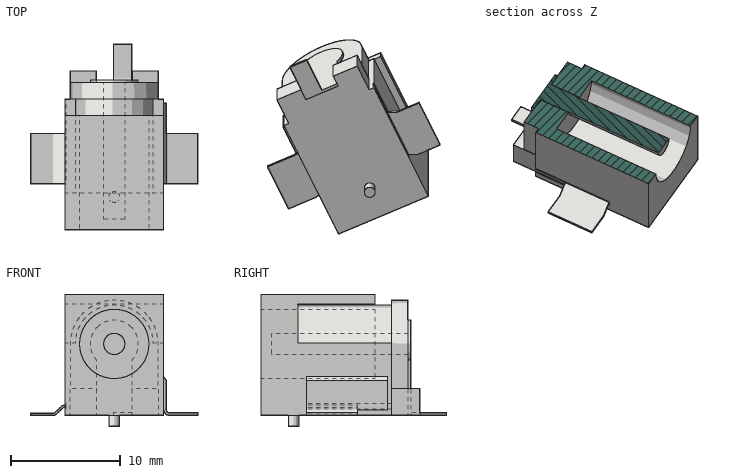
import cadquery as cq
import math

width = 8.99
height = 11.0
roof_back = 10.4
wall_back = 11.88
half_width = width / 2

axis_z = 6.5
socket_diameter = 6.3
socket_depth = roof_back
barrel_radius = 3.55
barrel_cut_front = 3.36
wall_top = 6.6
roof_underside = 10.12

flange_radius = 3.99
foot_outer_x = 4.02
flange_back = 13.38
foot_back = 14.47
foot_height = 2.47
foot_gap = 3.25

peg_diameter = 1.0
peg_length = 1.0
peg_y = 2.99

pin_diameter = 1.93
pin_front = 0.98
head_diameter = 4.36
sheet = 0.25
strap_width = 3.21
tail_width = 1.69
tail_end = 16.9
tail_bend_radius = 0.1

lead_span = 15.2
lead_tip = lead_span / 2
lead_front = 4.17
lead_width = 4.6
left_sheet = 0.2
left_flat_end = 5.48
left_slope_end = 4.68
left_top = 0.93
left_bend_radius = 0.14
right_plate_back = 11.53
right_plate_top = 3.53
right_top_bevel = 0.34
right_bend_radius = 0.25

slot_bottom = 0.6
slot_top = 1.06
slot_depth = 0.1


def block(x_min, x_max, y_min, y_max, z_min, z_max):
    """Box given by its limits along each axis."""
    size = (x_max - x_min, y_max - y_min, z_max - z_min)
    return cq.Workplane("XY").box(*size, centered=False).translate((x_min, y_min, z_min))


def axial_cylinder(diameter, y_min, y_max):
    """Cylinder on the socket axis, running along Y."""
    plane = cq.Workplane("XZ", origin=(0, y_min, axis_z))
    return plane.circle(diameter / 2).extrude(y_min - y_max)


def extrude_along_y(outline, y_min, length):
    """Extrude a closed XZ outline from y_min toward +Y."""
    return outline.extrude(-length).translate((0, y_min, 0))


def make_flange():
    """Round-topped rear plate standing on two feet."""
    depth = flange_back - wall_back
    outline = (
        cq.Workplane("XZ")
        .moveTo(-flange_radius, 0)
        .lineTo(-flange_radius, axis_z)
        .threePointArc((0, axis_z + flange_radius), (flange_radius, axis_z))
        .lineTo(flange_radius, 0)
        .close()
    )
    flange = extrude_along_y(outline, wall_back, depth)
    inner = foot_gap / 2
    for x_min, x_max in ((-foot_outer_x, -inner), (inner, foot_outer_x)):
        flange = flange.union(block(x_min, x_max, wall_back, foot_back, 0, foot_height))
    return flange


def make_housing():
    """Block with a roof, low side walls, an exposed barrel and the rear flange."""
    body = block(-half_width, half_width, 0, barrel_cut_front, 0, height)
    walls = block(-half_width, half_width, barrel_cut_front, wall_back, 0, wall_top)
    roof = block(-half_width, half_width, barrel_cut_front, roof_back, roof_underside, height)
    barrel = axial_cylinder(2 * barrel_radius, barrel_cut_front, wall_back)
    body = body.union(walls).union(roof).union(barrel).union(make_flange())

    peg = cq.Workplane("XY").center(0, peg_y).circle(peg_diameter / 2).extrude(-peg_length)
    slot_floor = slot_depth - half_width
    slot = block(-half_width, slot_floor, lead_front, wall_back, slot_bottom, slot_top)
    socket = axial_cylinder(socket_diameter, 0, socket_depth)
    pin_bore = axial_cylinder(pin_diameter, socket_depth, flange_back)
    return body.union(peg).cut(slot).cut(socket).cut(pin_bore)


def make_center_pin():
    """Pin, rear head, strap running down from the head, and offset tail."""
    strap_back = flange_back + sheet
    tail_right = strap_width / 2
    tail_left = tail_right - tail_width
    pin = axial_cylinder(pin_diameter, pin_front, flange_back)
    head = axial_cylinder(head_diameter, flange_back, strap_back)
    strap = block(-strap_width / 2, strap_width / 2, flange_back, strap_back, 0, axis_z)
    tail = block(tail_left, tail_right, flange_back, tail_end, 0, sheet)

    bend = (
        cq.Workplane("YZ", origin=(tail_left, 0, 0))
        .moveTo(strap_back, sheet)
        .lineTo(strap_back + tail_bend_radius, sheet)
        .radiusArc((strap_back, sheet + tail_bend_radius), tail_bend_radius)
        .close()
        .extrude(tail_width)
    )
    return pin.union(head).union(strap).union(tail).union(bend)


def make_left_lead():
    """Flat foot, sloped step and short root that meets the slot floor."""
    root_x = slot_depth - half_width
    slope = math.atan2(left_top - left_sheet, left_flat_end - left_slope_end)
    miter = left_sheet * math.tan(slope / 2)
    low_bend = (-left_flat_end, left_sheet)
    high_bend = (-left_slope_end, left_top)
    outline = cq.Workplane("XZ").polyline([
        (-lead_tip, left_sheet),
        low_bend,
        high_bend,
        (root_x, left_top),
        (root_x, left_top - left_sheet),
        (high_bend[0] + miter, left_top - left_sheet),
        (low_bend[0] + miter, 0),
        (-lead_tip, 0),
    ]).close()
    lead = extrude_along_y(outline, lead_front, lead_width)

    def bend_edge(x, z):
        nearby = 0.002
        low = (x - nearby, lead_front - nearby, z - nearby)
        high = (x + nearby, lead_front + lead_width + nearby, z + nearby)
        return cq.selectors.BoxSelector(low, high, boundingbox=True)

    outer_radius = left_bend_radius + left_sheet
    lead = lead.edges(bend_edge(*low_bend)).fillet(left_bend_radius)
    lead = lead.edges(bend_edge(low_bend[0] + miter, 0)).fillet(outer_radius)
    lead = lead.edges(bend_edge(*high_bend)).fillet(outer_radius)
    return lead.edges(bend_edge(high_bend[0] + miter, left_top - left_sheet)).fillet(left_bend_radius)


def make_right_lead():
    """L-shaped lead with a beveled plate lying against the right wall."""
    plate_face = half_width + sheet
    outer_radius = right_bend_radius + sheet
    foot_start = half_width + outer_radius
    foot_outline = (
        cq.Workplane("XZ")
        .moveTo(half_width, outer_radius)
        .radiusArc((foot_start, 0), -outer_radius)
        .lineTo(lead_tip, 0)
        .lineTo(lead_tip, sheet)
        .lineTo(foot_start, sheet)
        .radiusArc((plate_face, outer_radius), right_bend_radius)
        .close()
    )
    plate_outline = cq.Workplane("XZ").polyline([
        (half_width, outer_radius),
        (plate_face, outer_radius),
        (plate_face, right_plate_top - right_top_bevel),
        (half_width, right_plate_top),
    ]).close()
    foot = extrude_along_y(foot_outline, lead_front, lead_width)
    plate = extrude_along_y(plate_outline, lead_front, right_plate_back - lead_front)
    return foot.union(plate)


housing = make_housing()
center_pin = make_center_pin()
left_lead = make_left_lead()
right_lead = make_right_lead()

result = cq.Compound.makeCompound([
    housing.solids().val(),
    center_pin.solids().val(),
    left_lead.solids().val(),
    right_lead.solids().val(),
])